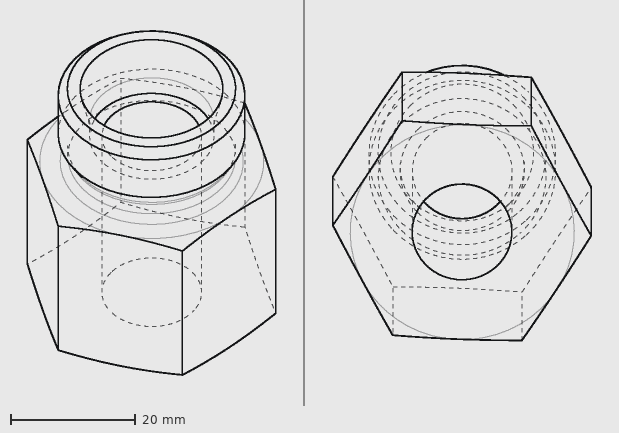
import cadquery as cq
import math

height = 45.0
across_flats = 36.0
across_corners = across_flats / math.cos(math.radians(30))
hex_height = 29.0
hex_chamfer_angle = 15.0

collar_radius = 30.0 / 2
collar_chamfer = 1.5
collar_bottom = 35.2
neck_radius = 27.0 / 2
flare_angle = 30.0
neck_fillet = 1.2

bore_radius = 16.0 / 2
socket_radius = 20.0 / 2
mouth_radius = 22.95 / 2
taper_angle = 12.0
socket_depth = 10.5
taper_depth = (mouth_radius - socket_radius) / math.tan(math.radians(taper_angle))


def revolve_profile(profile):
    """Turn a closed (radius, height) profile around the Z axis."""
    return profile.close().revolve(360, (0, 0, 0), (0, 1, 0))


def hex_body():
    """Upright hexagon with corners on Y and both ends chamfered at the corners."""
    prism = cq.Workplane("XY").polygon(6, across_corners).extrude(hex_height)
    prism = prism.rotate((0, 0, 0), (0, 0, 1), 30)
    flat_radius = across_flats / 2
    corner_radius = across_corners / 2
    drop = (corner_radius - flat_radius) * math.tan(math.radians(hex_chamfer_angle))
    envelope = revolve_profile(
        cq.Workplane("XZ")
        .lineTo(flat_radius, 0)
        .lineTo(corner_radius, drop)
        .lineTo(corner_radius, hex_height - drop)
        .lineTo(flat_radius, hex_height)
        .lineTo(0, hex_height)
    )
    return prism.intersect(envelope)


def neck_and_collar():
    """Undercut neck blending into the flared, chamfered collar and filleted onto the hexagon."""
    flare = math.radians(flare_angle)
    flare_bottom = collar_bottom - (collar_radius - neck_radius) / math.tan(flare)
    tangent_length = neck_fillet * math.tan(flare / 2)
    blend_start = flare_bottom - tangent_length
    blend_middle = (
        neck_radius + neck_fillet * (1 - math.cos(flare / 2)),
        blend_start + neck_fillet * math.sin(flare / 2),
    )
    blend_end = (
        neck_radius + tangent_length * math.sin(flare),
        flare_bottom + tangent_length * math.cos(flare),
    )
    arc_inset = neck_fillet * (1 - math.sqrt(0.5))
    return revolve_profile(
        cq.Workplane("XZ")
        .lineTo(neck_radius + neck_fillet, 0)
        .lineTo(neck_radius + neck_fillet, hex_height)
        .threePointArc(
            (neck_radius + arc_inset, hex_height + arc_inset),
            (neck_radius, hex_height + neck_fillet),
        )
        .lineTo(neck_radius, blend_start)
        .threePointArc(blend_middle, blend_end)
        .lineTo(collar_radius, collar_bottom)
        .lineTo(collar_radius, height - collar_chamfer)
        .lineTo(collar_radius - collar_chamfer, height)
        .lineTo(0, height)
    )


def stepped_bore():
    """Through bore, wider socket above it and a tapered mouth at the top."""
    socket_floor = height - socket_depth
    return revolve_profile(
        cq.Workplane("XZ")
        .lineTo(bore_radius, 0)
        .lineTo(bore_radius, socket_floor)
        .lineTo(socket_radius, socket_floor)
        .lineTo(socket_radius, height - taper_depth)
        .lineTo(mouth_radius, height)
        .lineTo(0, height)
    )


result = hex_body().union(neck_and_collar()).cut(stepped_bore())